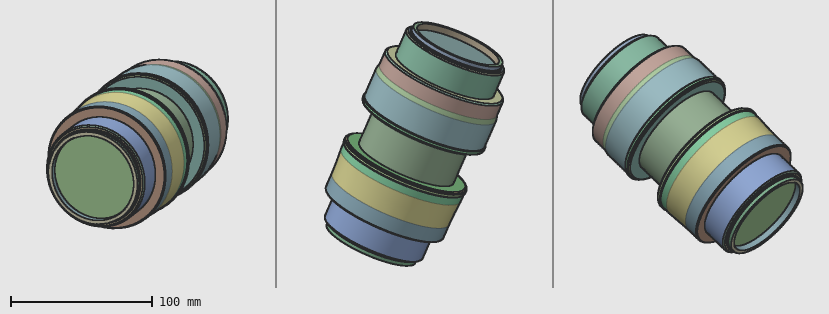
import cadquery as cq

total_length = 159.0
half_length = total_length / 2

shaft_radius = 36.5
collar_inner_y = 14.8
collar_outer_y = 55.3
bead_diameter = 94.0
bead_radius = bead_diameter / 2
barrel_radius = 46.5
nose_radius = 45.5
bead_start_y = 16.2
bead_end_y = 18.1
bead_slope = 0.6
rim_radius = 45.2
rim_step_y = 15.5
nose_start_y = 43.4
rear_taper_start_y = 39.6
front_taper_start_y = 24.5
rear_nose_chamfer = 1.3
front_nose_chamfer = 0.8

sleeve_radius = 37.8
sleeve_end_y = 75.4
sleeve_chamfer = 1.1

cap_radius = 34.3
cap_foot_radius = 35.1
cap_seat_y = 71.5
cap_foot_y = 75.8
cap_cone_end_y = 76.5
recess_radius = 31.5
recess_depth = 5.0


def turn(profile, side):
    """Revolve (radius, y) points about Y; side is 1 for the +Y end and -1 for the -Y end."""
    points = [(radius, side * y) for radius, y in profile]
    return cq.Workplane("XY").polyline(points).close().revolve(360, (0, 0, 0), (0, 1, 0))


def make_shaft():
    return turn(
        [
            (0, -collar_outer_y),
            (shaft_radius, -collar_outer_y),
            (shaft_radius, collar_outer_y),
            (0, collar_outer_y),
        ],
        1,
    )


def make_collar(side, taper_start_y, nose_chamfer):
    """Ring with a bead at its inner end and a taper down to its nose."""
    return turn(
        [
            (shaft_radius, collar_inner_y),
            (rim_radius, collar_inner_y),
            (barrel_radius, rim_step_y),
            (bead_radius, bead_start_y),
            (bead_radius, bead_end_y),
            (barrel_radius, bead_end_y + bead_slope),
            (barrel_radius, taper_start_y),
            (nose_radius, nose_start_y),
            (nose_radius, collar_outer_y - nose_chamfer),
            (nose_radius - nose_chamfer, collar_outer_y),
            (shaft_radius, collar_outer_y),
        ],
        side,
    )


def make_sleeve(side):
    """Cylinder with a chamfered outer edge and a pocket for the end cap."""
    return turn(
        [
            (0, collar_outer_y),
            (sleeve_radius, collar_outer_y),
            (sleeve_radius, sleeve_end_y - sleeve_chamfer),
            (sleeve_radius - sleeve_chamfer, sleeve_end_y),
            (cap_foot_radius, sleeve_end_y),
            (cap_foot_radius, cap_seat_y),
            (0, cap_seat_y),
        ],
        side,
    )


def make_end_cap(side):
    """Disc seated in the sleeve, with a short cone outside it and a round recess in its end face."""
    recess_floor_y = half_length - recess_depth
    return turn(
        [
            (0, cap_seat_y),
            (cap_foot_radius, cap_seat_y),
            (cap_foot_radius, cap_foot_y),
            (cap_radius, cap_cone_end_y),
            (cap_radius, half_length),
            (recess_radius, half_length),
            (recess_radius, recess_floor_y),
            (0, recess_floor_y),
        ],
        side,
    )


shaft = make_shaft()
rear_collar = make_collar(1, rear_taper_start_y, rear_nose_chamfer)
front_collar = make_collar(-1, front_taper_start_y, front_nose_chamfer)
sleeves = [make_sleeve(side) for side in (-1, 1)]
end_caps = [make_end_cap(side) for side in (-1, 1)]

bodies = [shaft, rear_collar, front_collar, *sleeves, *end_caps]
result = cq.Compound.makeCompound([body.val() for body in bodies])